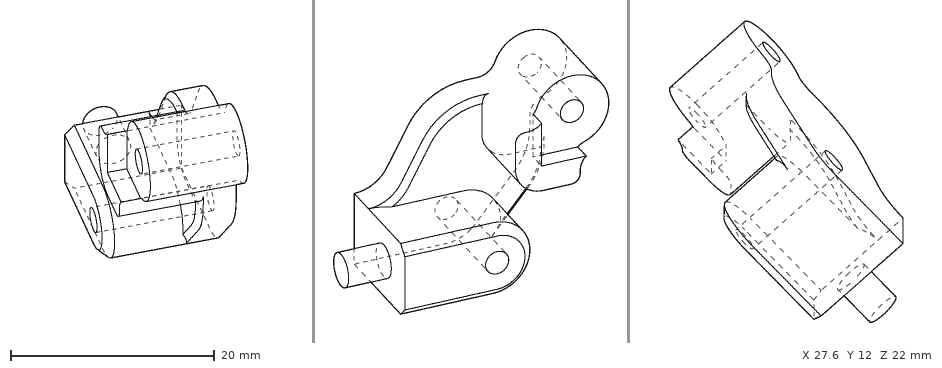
import cadquery as cq
import math

depth = 12.0
knuckle_radius = 4.0
hole_diameter = 2.5
face_x = 4.6
pin_diameter = 3.6
pin_y = 5.0
block_chamfer = 1.0
hinge_x = 14.6
hinge_z = knuckle_radius
knuckle_x = 23.6
knuckle_z = 18.0

web_thickness = 4.0
web_chamfer = 0.6
web_radius = 7.0
web_blend_radius = 4.0

pad_size = web_radius
pad_corner_radius = 3.0
pad_edge_radius = 1.0
neck_radius = 2.0
recess_depth = 2.0
recess_reach = 4.2


def prism(outline, y_start, y_end):
    """Extrude a closed XZ outline between two Y positions."""
    return outline.extrude(-(y_end - y_start)).translate((0, y_start, 0))


def on_circle(center, radius, angle):
    return (center[0] + radius * math.cos(angle), center[1] + radius * math.sin(angle))


def make_hinge_block():
    outline = (
        cq.Workplane("XZ")
        .moveTo(face_x, 0)
        .lineTo(hinge_x, 0)
        .threePointArc((hinge_x + knuckle_radius, hinge_z), (hinge_x, 2 * knuckle_radius))
        .lineTo(face_x, 2 * knuckle_radius)
        .close()
    )
    block = prism(outline, 0, depth)
    rim = block.faces("<Y").edges(cq.selectors.BoxSelector(
        (face_x + 0.28, -0.28, -0.28), (knuckle_x, 0.28, 2 * knuckle_radius + 0.28)))
    return rim.chamfer(block_chamfer)


def make_pin():
    pin = cq.Workplane("YZ").center(pin_y, hinge_z).circle(pin_diameter / 2)
    return pin.extrude(hinge_x)


def make_web():
    blend_center = (face_x, 2 * knuckle_radius + web_blend_radius)
    shoulder = (knuckle_x - web_radius, knuckle_z - web_radius)

    dx = shoulder[0] - blend_center[0]
    dz = shoulder[1] - blend_center[1]
    upper_normal = math.atan2(dz, dx) - math.acos((web_blend_radius + web_radius) / math.hypot(dx, dz))
    shoulder_normal = upper_normal + math.pi

    dx = shoulder[0] - hinge_x
    dz = shoulder[1] - hinge_z
    lower_normal = math.atan2(dz, dx) - math.acos((knuckle_radius - web_radius) / math.hypot(dx, dz))

    outline = (
        cq.Workplane("XZ")
        .moveTo(face_x, hinge_z)
        .lineTo(face_x, 2 * knuckle_radius)
        .threePointArc(
            on_circle(blend_center, web_blend_radius, (upper_normal - math.pi / 2) / 2),
            on_circle(blend_center, web_blend_radius, upper_normal),
        )
        .lineTo(*on_circle(shoulder, web_radius, shoulder_normal))
        .threePointArc(
            on_circle(shoulder, web_radius, (shoulder_normal + math.pi / 2) / 2),
            (shoulder[0], knuckle_z),
        )
        .lineTo(knuckle_x, knuckle_z)
        .lineTo(knuckle_x, shoulder[1])
        .threePointArc(
            on_circle(shoulder, web_radius, lower_normal / 2),
            on_circle(shoulder, web_radius, lower_normal),
        )
        .lineTo(*on_circle((hinge_x, hinge_z), knuckle_radius, lower_normal))
        .lineTo(hinge_x, hinge_z)
        .close()
    )
    web = prism(outline, depth - web_thickness, depth)
    return web.faces("<Y").edges().chamfer(web_chamfer)


def make_knuckle_and_pad():
    axis = (knuckle_x, knuckle_z)
    left = knuckle_x - pad_size
    bottom = knuckle_z - pad_size
    neck_reach = math.sqrt((knuckle_radius + neck_radius) ** 2 - neck_radius ** 2)
    neck_angle = math.atan2(neck_radius, neck_reach)
    upper_neck = (knuckle_x - neck_reach, knuckle_z + neck_radius)
    lower_neck = (knuckle_x + neck_radius, knuckle_z - neck_reach)

    outline = (
        cq.Workplane("XZ")
        .moveTo(left, knuckle_z)
        .lineTo(upper_neck[0], knuckle_z)
        .threePointArc(
            on_circle(upper_neck, neck_radius, -(math.pi / 2 + neck_angle) / 2),
            on_circle(upper_neck, neck_radius, -neck_angle),
        )
        .threePointArc(
            on_circle(axis, knuckle_radius, math.pi / 4),
            on_circle(axis, knuckle_radius, neck_angle - math.pi / 2),
        )
        .threePointArc(
            on_circle(lower_neck, neck_radius, (math.pi * 1.5 + neck_angle) / 2),
            (knuckle_x, lower_neck[1]),
        )
        .lineTo(knuckle_x, bottom)
        .lineTo(left, bottom)
        .close()
    )
    body = prism(outline, 0, depth)

    def round_corner(solid, x, z, radius):
        corner = cq.selectors.BoxSelector((x - 0.28, -0.28, z - 0.28), (x + 0.28, depth + 0.28, z + 0.28))
        return solid.edges("|Y").edges(corner).fillet(radius)

    body = round_corner(body, left, bottom, pad_corner_radius)
    body = round_corner(body, left, knuckle_z, pad_edge_radius)
    body = round_corner(body, knuckle_x, bottom, pad_edge_radius)

    recess_size = recess_reach + 2 * knuckle_radius
    recess = cq.Workplane("XY").box(recess_size, recess_depth, recess_size, centered=False)
    return body.cut(recess.translate((knuckle_x - recess_reach, 0, knuckle_z - recess_reach)))


def make_hole(x, z):
    return prism(cq.Workplane("XZ").center(x, z).circle(hole_diameter / 2), 0, depth)


result = make_hinge_block().union(make_pin()).union(make_web()).union(make_knuckle_and_pad())
for hole_x, hole_z in ((hinge_x, hinge_z), (knuckle_x, knuckle_z)):
    result = result.cut(make_hole(hole_x, hole_z))